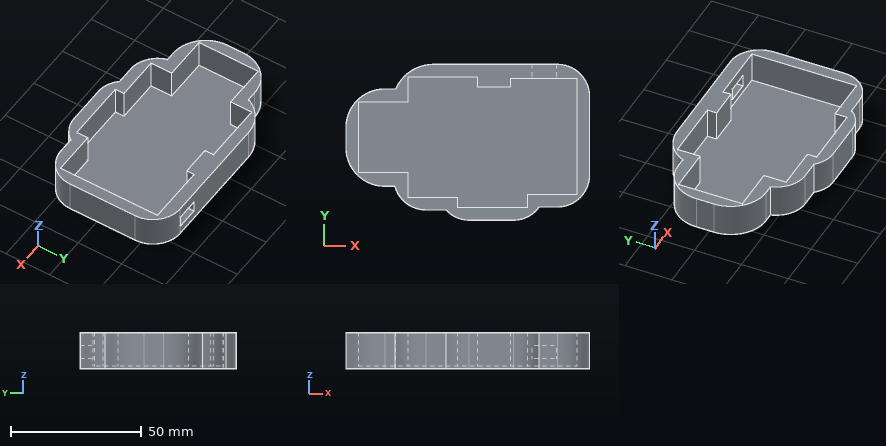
import cadquery as cq
import math

length = 93.7
width = 60.0
height = 14.0
floor_thickness = 1.0

step_left_y = 3.9
step_right_y = 5.1
nose_front_y = 13.0
nose_back_y = 50.5

nose_radius = 15.0
body_radius = 12.5
back_left_radius = 15.9
bulge_radius = 12.0
body_front_start_x = 30.8
body_back_start_x = 33.7
bulge_start_x = 47.4
bulge_end_x = 64.5

wall = 4.9
cavity_body_x = 24.0
cavity_bay_start_x = 42.9
cavity_bay_end_x = 69.8
block_start_x = 50.6
block_end_x = 63.25
cavity_front_left_y = 8.8
cavity_front_right_y = 9.9
cavity_nose_front_y = 18.3
cavity_nose_back_y = 45.4
cavity_back_left_y = 55.1
cavity_back_right_y = 54.5
block_front_y = 51.2

window_start_x = 71.6
window_length = 9.4
window_height = 5.1
window_sill = 3.0


def arc_run(radius, rise):
    """X distance an arc covers from its flat tangent point to a given rise."""
    return math.sqrt(radius**2 - (radius - rise) ** 2)


def make_body():
    nose_front_x = body_front_start_x - arc_run(body_radius, nose_front_y - step_left_y)
    nose_back_x = body_back_start_x - arc_run(back_left_radius, width - nose_back_y)
    bulge_left_x = bulge_start_x - arc_run(bulge_radius, step_left_y)
    bulge_right_x = bulge_end_x + arc_run(bulge_radius, step_right_y)
    return (
        cq.Workplane("XY")
        .moveTo(bulge_start_x, 0)
        .lineTo(bulge_end_x, 0)
        .radiusArc((bulge_right_x, step_right_y), -bulge_radius)
        .lineTo(length - body_radius, step_right_y)
        .radiusArc((length, step_right_y + body_radius), -body_radius)
        .lineTo(length, width - body_radius)
        .radiusArc((length - body_radius, width), -body_radius)
        .lineTo(body_back_start_x, width)
        .radiusArc((nose_back_x, nose_back_y), -back_left_radius)
        .lineTo(nose_radius, nose_back_y)
        .radiusArc((0, nose_back_y - nose_radius), -nose_radius)
        .lineTo(0, nose_front_y + nose_radius)
        .radiusArc((nose_radius, nose_front_y), -nose_radius)
        .lineTo(nose_front_x, nose_front_y)
        .radiusArc((body_front_start_x, step_left_y), -body_radius)
        .lineTo(bulge_left_x, step_left_y)
        .radiusArc((bulge_start_x, 0), -bulge_radius)
        .close()
        .extrude(height)
    )


def make_cavity():
    cavity_right_x = length - wall
    outline = [
        (wall, cavity_nose_front_y),
        (cavity_body_x, cavity_nose_front_y),
        (cavity_body_x, cavity_front_left_y),
        (cavity_bay_start_x, cavity_front_left_y),
        (cavity_bay_start_x, wall),
        (cavity_bay_end_x, wall),
        (cavity_bay_end_x, cavity_front_right_y),
        (cavity_right_x, cavity_front_right_y),
        (cavity_right_x, cavity_back_right_y),
        (block_end_x, cavity_back_right_y),
        (block_end_x, block_front_y),
        (block_start_x, block_front_y),
        (block_start_x, cavity_back_left_y),
        (cavity_body_x, cavity_back_left_y),
        (cavity_body_x, cavity_nose_back_y),
        (wall, cavity_nose_back_y),
    ]
    return (
        cq.Workplane("XY", origin=(0, 0, floor_thickness))
        .polyline(outline)
        .close()
        .extrude(height - floor_thickness)
    )


def make_window():
    return cq.Workplane("XY").box(
        window_length, width - cavity_back_right_y, window_height, centered=False
    ).translate((window_start_x, cavity_back_right_y, floor_thickness + window_sill))


result = make_body().cut(make_cavity()).cut(make_window())